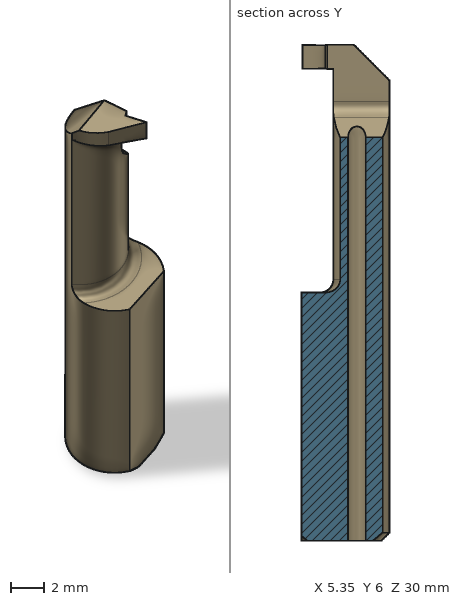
import cadquery as cq
import math

total_length = 30.0
shank_radius = 3.0
flat_x = 2.35
shank_top = 15.03
end_chamfer = 0.5

neck_radius = 2.95
neck_center_x = -2.52
neck_fillet = 0.78

head_bottom = 28.53
relief_angle = math.radians(4)
tip = (2.28, 0.05)
flank_end = (0.72, -1.8)
flank_bulge = (0.03, -2.3)
heel = (-1.35, -2.67)
rake_inner = (0.9, -0.18)
rake_step_x = 0.78
corner_chamfer = 2.15

back_face_y = 0.15
ramp_end = (2.67, 23.05)
ramp_angle = math.radians(50)
ramp_fillet = 1.5

coolant_diameter = 1.05
coolant_center = (-1.02, 1.5)

margin = 2 * shank_radius


def make_bar():
    bar = cq.Workplane("XY").circle(shank_radius).extrude(total_length)
    bar = bar.faces("<Z").chamfer(end_chamfer)
    waste = cq.Workplane("XY").box(margin, 2 * margin, total_length, centered=(False, True, False))
    return bar.cut(waste.translate((flat_x, 0, 0)))


def make_core():
    """Solid of revolution about the neck axis: wide shank zone, concave fillet, neck."""
    fillet_center = (neck_radius + neck_fillet, shank_top + neck_fillet)
    fillet_mid = (
        fillet_center[0] - neck_fillet * math.cos(math.pi / 4),
        fillet_center[1] - neck_fillet * math.sin(math.pi / 4),
    )
    core = (
        cq.Workplane("XZ")
        .lineTo(2 * margin, 0)
        .lineTo(2 * margin, shank_top)
        .lineTo(fillet_center[0], shank_top)
        .threePointArc(fillet_mid, (neck_radius, fillet_center[1]))
        .lineTo(neck_radius, total_length)
        .lineTo(0, total_length)
        .close()
        .revolve(360, (0, 0, 0), (0, 1, 0))
    )
    return core.translate((neck_center_x, 0, 0))


def make_head():
    """Head with a raked cutting face, its lower side rising away from the edge."""
    blank = (
        cq.Workplane("XY")
        .workplane(offset=head_bottom)
        .moveTo(heel[0], back_face_y)
        .lineTo(rake_step_x, back_face_y)
        .lineTo(*rake_inner)
        .lineTo(*tip)
        .lineTo(*flank_end)
        .threePointArc(flank_bulge, heel)
        .close()
        .extrude(total_length - head_bottom)
    )
    depth = margin + back_face_y
    rise = depth * math.tan(relief_angle)
    under_relief = (
        cq.Workplane("YZ")
        .polyline([
            (back_face_y, head_bottom),
            (-margin, head_bottom),
            (-margin, head_bottom + rise),
        ])
        .close()
        .extrude(margin, both=True)
    )
    return blank.cut(under_relief)


def make_top_relief():
    drop = (margin + back_face_y) * math.tan(relief_angle)
    return (
        cq.Workplane("YZ")
        .polyline([
            (back_face_y, total_length),
            (-margin, total_length),
            (-margin, total_length - drop),
        ])
        .close()
        .extrude(margin, both=True)
    )


def make_corner_cut():
    """45 degree bevel across the -X top corner, tilted to match the top relief."""
    wedge = (
        cq.Workplane("XZ")
        .polyline([
            (-shank_radius, total_length - corner_chamfer),
            (-shank_radius, total_length),
            (-shank_radius + corner_chamfer, total_length),
        ])
        .close()
        .extrude(margin, both=True)
    )
    pivot_start = (0, back_face_y, total_length)
    pivot_end = (1, back_face_y, total_length)
    return wedge.rotate(pivot_start, pivot_end, math.degrees(relief_angle))


def make_back_cut():
    """Flat back face that blends through a fillet into a sloping ramp."""
    slope = math.tan(ramp_angle)
    ramp_top = ramp_end[1] + (ramp_end[0] - back_face_y) * slope
    outer_y = ramp_end[0] + margin
    return (
        cq.Workplane("YZ")
        .polyline([
            (back_face_y, total_length),
            (back_face_y, ramp_top),
            (outer_y, ramp_end[1] - margin * slope),
            (outer_y, total_length),
        ])
        .close()
        .extrude(margin, both=True)
        .edges(cq.selectors.NearestToPointSelector((0, back_face_y, ramp_top)))
        .fillet(ramp_fillet)
    )


def make_coolant_hole():
    hole = cq.Workplane("XY").center(*coolant_center)
    return hole.circle(coolant_diameter / 2).extrude(total_length)


result = make_bar().intersect(make_core()).cut(make_back_cut())
result = result.union(make_head())
result = result.cut(make_top_relief()).cut(make_corner_cut()).cut(make_coolant_hole())